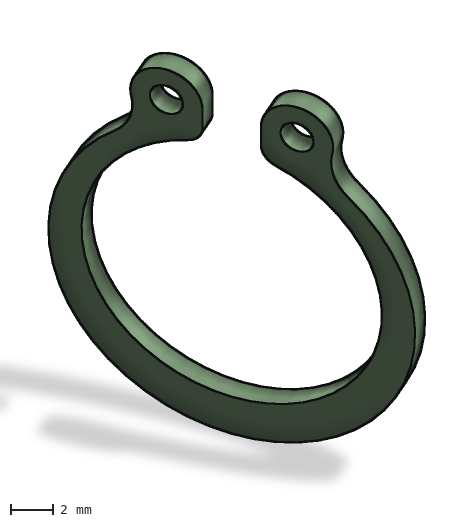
import cadquery as cq
import math

total_height = 21.65
thickness = 1.2
outer_radius = 9.55
bore_radius = 7.82
bore_offset = 0.58
lug_radius = 1.88
lug_hole_diameter = 1.7
gap_half_width = 1.52
neck_radius = 2.47
corner_radius = 1.08

lug_x = gap_half_width + lug_radius
lug_z = total_height - outer_radius - lug_radius


def point_towards(start, target, distance):
    """Point at the given distance from start on the ray to target."""
    angle = math.atan2(target[1] - start[1], target[0] - start[0])
    return (start[0] + distance * math.cos(angle), start[1] + distance * math.sin(angle))


def arc_middle(center, radius, first, last):
    """Middle of the shorter arc between two points of a circle."""
    chord_middle = ((first[0] + last[0]) / 2, (first[1] + last[1]) / 2)
    return point_towards(center, chord_middle, radius)


def mirrored(point):
    return (-point[0], point[1])


ring_center = (0, 0)
bore_center = (0, bore_offset)
lug_center = (lug_x, lug_z)

lug_distance = math.hypot(lug_x, lug_z)
neck_distance = outer_radius + neck_radius
neck_to_lug = lug_radius + neck_radius
neck_angle = math.atan2(lug_z, lug_x) - math.acos(
    (neck_distance**2 + lug_distance**2 - neck_to_lug**2) / (2 * neck_distance * lug_distance)
)
neck_center = (neck_distance * math.cos(neck_angle), neck_distance * math.sin(neck_angle))

corner_x = gap_half_width + corner_radius
corner_z = bore_offset + math.sqrt((bore_radius + corner_radius) ** 2 - corner_x**2)
corner_center = (corner_x, corner_z)

neck_start = point_towards(ring_center, neck_center, outer_radius)
neck_end = point_towards(lug_center, neck_center, lug_radius)
lug_top = (lug_x, lug_z + lug_radius)
gap_top = (gap_half_width, lug_z)
gap_bottom = (gap_half_width, corner_z)
bore_start = point_towards(bore_center, corner_center, bore_radius)

neck_middle = arc_middle(neck_center, neck_radius, neck_start, neck_end)
corner_middle = arc_middle(corner_center, corner_radius, gap_bottom, bore_start)

outline = (
    cq.Workplane("XZ")
    .moveTo(*neck_start)
    .threePointArc(neck_middle, neck_end)
    .threePointArc(lug_top, gap_top)
    .lineTo(*gap_bottom)
    .threePointArc(corner_middle, bore_start)
    .threePointArc((0, bore_offset - bore_radius), mirrored(bore_start))
    .threePointArc(mirrored(corner_middle), mirrored(gap_bottom))
    .lineTo(*mirrored(gap_top))
    .threePointArc(mirrored(lug_top), mirrored(neck_end))
    .threePointArc(mirrored(neck_middle), mirrored(neck_start))
    .threePointArc((0, -outer_radius), neck_start)
    .close()
)
ring = outline.extrude(thickness / 2, both=True)

lug_holes = (
    cq.Workplane("XZ")
    .pushPoints([lug_center, mirrored(lug_center)])
    .circle(lug_hole_diameter / 2)
    .extrude(thickness, both=True)
)

result = ring.cut(lug_holes)